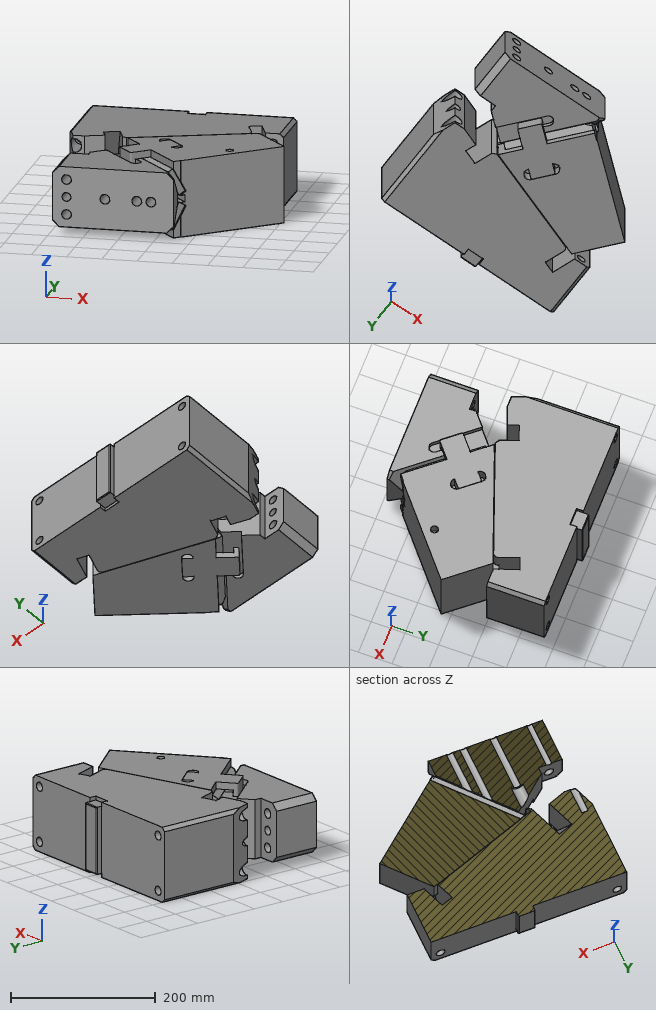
import cadquery as cq
import math

SLIDE_ANGLE = 40.0
FACE_ANGLE = 20.0
GUIDE_TILT = 30.0

HOLDER_LENGTH = 295.0
HOLDER_BACK = 275.5
HOLDER_HEIGHT = 110.0
HOLDER_CHAMFER = 5.3
HOLDER_RIGHT_FOOT = 190.2
HOLDER_LEFT_FOOT = 120.0
SLANT_TOP = 153.5
SLANT_WIDTH = 12.0
LIP_START = 28.2
FACE_ORIGIN = (87.0, 124.2)
LAND_START = -4.5
LAND_END = 175.3
LAND_CHAMFER = 5.5
LAND_ROUND = 6.2
LEFT_NOTCH_WIDTH = 23.2
LEFT_NOTCH_TOP = 33.0
LIP_HEIGHT = 16.5
RIGHT_NOTCH_WIDTH = 18.3
RIGHT_NOTCH_TOP = 36.5

BOLT_INSET = 14.5
BOLT_HEIGHT = 40.3
BOLT_RADIUS = 6.5
BOLT_HEAD_RADIUS = 9.5
BOLT_HEAD_SEAT = 161.0
DOWEL_RADIUS = 6.8
DOWEL_END = 161.0

KEY_LEFT = 141.2
KEY_WIDTH = 25.7
KEY_FRONT = 265.0
KEY_BACK = 284.0
KEY_HEIGHT = 98.5
KEY_CHAMFER = 1.2

SLIDER_CORNER = (178.0, 18.0)
SLIDER_LENGTH = 172.0
SLIDER_LEFT_SIDE = 138.5
SLIDER_HEIGHT = HOLDER_HEIGHT
TONGUE_RISE = 8.7
TONGUE_HEIGHT = 59.0
END_STEP = 1.0
END_STEP_WIDTH = 11.0
GUIDE_FLOOR = 17.7
PLATE_TOP = 44.0
PLATE_THICKNESS = 10.8
PLATE_WIDTH = 38.7
PLATE_START = 3.0
PLATE_END = 128.2
PLATE_CORNER_DEPTH = 4.0
PLATE_CORNER_LENGTH = 10.0
STRAP_SIDES = (68.8, 103.0)
STRAP_OUTER_END = -31.5
STRAP_INNER_END = 47.7
STRAP_THICKNESS = 19.5
STRAP_NECK_START = -24.2
STRAP_NECK_THICKNESS = 10.2
STRAP_FILLET = 2.5
STRAP_SLOT_MIDDLE = 40.0
STRAP_SLOT_RADIUS = 8.0
PIN_HOLE = (240.7, 92.5)
PIN_HOLE_RADIUS = 5.3
PIN_HOLE_DEPTH = 15.5
PIN_POINT_SLOPE = 30.0

DRIVER_LEFT = 10.0
DRIVER_RIGHT = 181.8
DRIVER_HEIGHT = 86.7
DRIVER_CHAMFER = 9.5
DRIVER_SHOULDER = 70.3
DRIVER_STEP_X = 45.2
DRIVER_STEP_TOP = 80.5
RIDGE = 8.5
HOOK_SLOT_RADIUS = 7.5
HOOK_SLOT_MIDDLE = -28.5
HOOK_SLOT_START = 60.0
CORNER_HOLE_X = 30.0
CORNER_HOLE_HEIGHT = 25.0
LONG_HOLE_RADIUS = 6.8
CENTRE_HOLE_RADIUS = 6.2
SPRING_HOLE_X = 84.5
SPRING_BORE_RADIUS = 10.0
SPRING_BORE_SEAT = 86.7
REAR_HOLES_X = (129.8, 150.0)

CHANNEL_OVERRUN = 3.0
REACH = 619.5
tilt = math.radians(GUIDE_TILT)
flank_run = math.tan(tilt)

slide = math.radians(SLIDE_ANGLE)
slide_dir = (math.cos(slide), math.sin(slide), 0)
slider_frame = cq.Plane((*SLIDER_CORNER, 0), slide_dir, (0, 0, 1))

section_frame = cq.Plane((*SLIDER_CORNER, 0), slide_dir, (math.sin(slide), -math.cos(slide), 0))

face = math.radians(FACE_ANGLE)
face_frame = cq.Plane((*FACE_ORIGIN, 0), (math.cos(face), math.sin(face), 0), (0, 0, 1))

flank_x = -PLATE_THICKNESS * math.cos(tilt)
flank_z = PLATE_TOP - PLATE_THICKNESS * math.sin(tilt)


def flank_height(x):
    """Height of the V flank above mid height at local x of the slider frame."""
    return flank_z - (x - flank_x) / flank_run


def upright(frame, points, height, middle=0.0):
    """Polygon in a horizontal frame, extruded along Z about the given middle height."""
    return cq.Workplane(frame).workplane(offset=middle - height / 2).polyline(points).close().extrude(height)


def along_joint(points, start, end):
    """Polygon in the joint section, extruded along the joint from start to end."""
    return cq.Workplane(section_frame).workplane(offset=-end).polyline(points).close().extrude(end - start)


def hole_along_y(x, z, radius, start, end):
    """Cylinder parallel to Y."""
    plane = cq.Plane((x, start, z), (1, 0, 0), (0, 1, 0))
    return cq.Workplane(plane).circle(radius).extrude(end - start)


def both_sides(solid):
    """The solid and its mirror image about mid height."""
    return solid.add(solid.mirror("XY")).combine(clean=True)


def bevelled_bar(left, right, front, back, height, chamfer):
    """Box whose four edges along Y are chamfered."""
    bar = cq.Workplane("XY").box(right - left, back - front, height)
    bar = bar.edges("|Y").chamfer(chamfer)
    return bar.translate(((left + right) / 2, (front + back) / 2, 0))


def on_face(along, depth):
    """Point of the face frame in X and Y."""
    return face_frame.toWorldCoords((along, depth)).toTuple()[:2]


def holder_outline():
    lip_end = LAND_START - LEFT_NOTCH_WIDTH
    notch_end = LAND_END + RIGHT_NOTCH_WIDTH
    foot_depth = (HOLDER_RIGHT_FOOT - FACE_ORIGIN[1] - notch_end * math.sin(face)) / math.cos(face)
    points = [
        (0, HOLDER_BACK),
        (0, SLANT_TOP),
        (SLANT_WIDTH, HOLDER_LEFT_FOOT),
        (LIP_START, HOLDER_LEFT_FOOT),
        on_face(lip_end, LIP_HEIGHT),
        on_face(lip_end, LEFT_NOTCH_TOP),
        on_face(LAND_START, LEFT_NOTCH_TOP),
        on_face(LAND_START, LAND_CHAMFER),
        on_face(0, 0),
        on_face(LAND_END - LAND_ROUND, 0),
    ]
    outline = cq.Workplane("XY").workplane(offset=-HOLDER_HEIGHT / 2).polyline(points)
    middle = LAND_ROUND * (1 - math.sqrt(0.5))
    outline = outline.threePointArc(on_face(LAND_END - middle, middle), on_face(LAND_END, LAND_ROUND))
    for corner in [
        on_face(LAND_END, RIGHT_NOTCH_TOP),
        on_face(notch_end, RIGHT_NOTCH_TOP),
        on_face(notch_end, foot_depth),
        (HOLDER_LENGTH, HOLDER_RIGHT_FOOT),
        (HOLDER_LENGTH, HOLDER_BACK),
    ]:
        outline = outline.lineTo(*corner)
    return outline.close().extrude(HOLDER_HEIGHT)


def make_holder():
    body = holder_outline()
    body = body.intersect(bevelled_bar(0, HOLDER_LENGTH, 0, HOLDER_BACK, HOLDER_HEIGHT, HOLDER_CHAMFER))

    for z in (-BOLT_HEIGHT, BOLT_HEIGHT):
        for x in (BOLT_INSET, HOLDER_LENGTH - BOLT_INSET):
            body = body.cut(hole_along_y(x, z, BOLT_RADIUS, 0, HOLDER_BACK))
        body = body.cut(hole_along_y(BOLT_INSET, z, BOLT_HEAD_RADIUS, 0, BOLT_HEAD_SEAT))
    body = body.cut(hole_along_y(BOLT_INSET, 0, DOWEL_RADIUS, 0, DOWEL_END))

    hollow_depth = HOLDER_HEIGHT / 2 * flank_run
    hollow_plane = cq.Plane((*on_face(LAND_START, LEFT_NOTCH_TOP), 0), face_frame.yDir, -face_frame.xDir)
    hollow = [(0, HOLDER_HEIGHT / 2), (hollow_depth, 0), (0, -HOLDER_HEIGHT / 2)]
    body = body.cut(cq.Workplane(hollow_plane).polyline(hollow).close().extrude(LEFT_NOTCH_WIDTH))

    body = body.cut(slider_tongue())

    key_middle = (KEY_LEFT + KEY_WIDTH / 2, (KEY_FRONT + KEY_BACK) / 2)
    key_depth = KEY_BACK - KEY_FRONT
    slot = cq.Workplane("XY").box(KEY_WIDTH, key_depth, HOLDER_HEIGHT).translate((*key_middle, 0))
    key = cq.Workplane("XY").box(KEY_WIDTH, key_depth, KEY_HEIGHT).faces(">Y").edges().chamfer(KEY_CHAMFER)
    return body.cut(slot).union(key.translate((*key_middle, 0)))


slider_right_side = SLIDER_LEFT_SIDE - SLIDER_LENGTH * math.tan(slide - face)


def slider_tongue():
    """Tongue on the slider's long sloping side; the holder's groove has the same shape."""
    points = [
        (0, SLIDER_LEFT_SIDE),
        (SLIDER_LENGTH, slider_right_side),
        (SLIDER_LENGTH, slider_right_side + TONGUE_RISE),
        (0, SLIDER_LEFT_SIDE + TONGUE_RISE),
    ]
    return upright(slider_frame, points, TONGUE_HEIGHT)


def guide_plate_section():
    """Guide plate leaning on the V flank, above mid height."""
    along = (PLATE_WIDTH * math.sin(tilt), -PLATE_WIDTH * math.cos(tilt))
    return [
        (0, PLATE_TOP),
        (flank_x, flank_z),
        (flank_x + along[0], flank_z + along[1]),
        (along[0], PLATE_TOP + along[1]),
    ]


def guide_channel():
    """V channel for the driver's ridge, with a flat floor."""
    mouth = flank_x - CHANNEL_OVERRUN
    root = flank_x + PLATE_WIDTH * math.sin(tilt)
    half = [(mouth, flank_height(mouth)), (root, flank_height(root)), (GUIDE_FLOOR, flank_height(root))]
    mirrored_half = [(x, -z) for x, z in reversed(half)]
    return along_joint(half + mirrored_half, -REACH, REACH)


def guide_plates():
    plate = along_joint(guide_plate_section(), PLATE_START, PLATE_END)
    corner = [
        (flank_x, PLATE_START),
        (flank_x + PLATE_CORNER_DEPTH, PLATE_START),
        (flank_x, PLATE_START + PLATE_CORNER_LENGTH),
    ]
    return both_sides(plate.cut(upright(slider_frame, corner, SLIDER_HEIGHT)))


def slider_straps():
    """Flush straps that hook into the driver."""
    near, far = STRAP_SIDES
    points = [
        (STRAP_OUTER_END, near),
        (STRAP_INNER_END, near),
        (STRAP_INNER_END, far),
        (STRAP_OUTER_END, far),
    ]
    strap = upright(slider_frame, points, STRAP_THICKNESS, (SLIDER_HEIGHT - STRAP_THICKNESS) / 2)
    strap = strap.edges("|Z").fillet(STRAP_FILLET)
    under_neck = [(STRAP_NECK_START, near), (0, near), (0, far), (STRAP_NECK_START, far)]
    under_height = SLIDER_HEIGHT - 2 * STRAP_NECK_THICKNESS
    return both_sides(strap.cut(upright(slider_frame, under_neck, under_height)))


def strap_slots():
    """Round-ended slots that the inner strap ends sit in."""
    near, far = STRAP_SIDES
    slot = (
        cq.Workplane(slider_frame)
        .workplane(offset=SLIDER_HEIGHT / 2)
        .center(STRAP_SLOT_MIDDLE, (near + far) / 2)
        .slot2D(far - near + 2 * STRAP_SLOT_RADIUS, 2 * STRAP_SLOT_RADIUS, 90)
        .extrude(-STRAP_THICKNESS)
    )
    return both_sides(slot)


def make_slider():
    points = [
        (0, END_STEP),
        (END_STEP_WIDTH, END_STEP),
        (END_STEP_WIDTH, 0),
        (SLIDER_LENGTH, 0),
        (SLIDER_LENGTH, slider_right_side),
        (0, SLIDER_LEFT_SIDE),
    ]
    body = upright(slider_frame, points, SLIDER_HEIGHT).union(slider_tongue())
    body = body.cut(both_sides(along_joint(guide_plate_section(), 0, PLATE_START)))
    body = body.union(guide_plates()).cut(guide_channel())
    body = body.cut(strap_slots()).union(slider_straps())

    half_section = [
        (0, 0),
        (PIN_HOLE_RADIUS, 0),
        (PIN_HOLE_RADIUS, -PIN_HOLE_DEPTH),
        (0, -PIN_HOLE_DEPTH - PIN_HOLE_RADIUS * math.tan(math.radians(PIN_POINT_SLOPE))),
    ]
    hole = cq.Workplane("XZ").polyline(half_section).close().revolve(360, (0, 0), (0, 1))
    return body.cut(hole.translate((*PIN_HOLE, SLIDER_HEIGHT / 2)))


def driver_outline():
    """Plan outline that reaches out to the crest of the V ridge."""
    step = (DRIVER_STEP_X, DRIVER_STEP_TOP)
    step_local = slider_frame.toLocalCoords(cq.Vector(*step, 0))
    crest = slider_frame.toWorldCoords((RIDGE, step_local.y)).toTuple()[:2]
    crest_end = crest[1] - (DRIVER_RIGHT - crest[0]) / math.tan(slide)
    points = [
        (DRIVER_LEFT, 0),
        (DRIVER_RIGHT, 0),
        (DRIVER_RIGHT, crest_end),
        crest,
        step,
        (DRIVER_STEP_X, DRIVER_SHOULDER),
        (DRIVER_LEFT, DRIVER_SHOULDER),
    ]
    return upright(cq.Plane.XY(), points, DRIVER_HEIGHT)


def above_flank():
    """Space over the upper flank of the V ridge."""
    half = DRIVER_HEIGHT / 2
    edge = flank_x + (flank_z - half) * flank_run
    points = [(edge, half), (RIDGE, flank_height(RIDGE)), (RIDGE, half)]
    return both_sides(along_joint(points, -REACH, REACH))


def hook_slots():
    """Recesses for the outer strap ends, open toward the upper left end of the driver."""
    floor = SLIDER_HEIGHT / 2 - STRAP_THICKNESS
    depth = DRIVER_HEIGHT / 2 - floor
    outer = HOOK_SLOT_MIDDLE - HOOK_SLOT_RADIUS
    inner = HOOK_SLOT_MIDDLE + HOOK_SLOT_RADIUS
    open_start = sum(STRAP_SIDES) / 2
    far = REACH / 2
    closed_end = (
        cq.Workplane(slider_frame)
        .workplane(offset=floor)
        .moveTo(inner, HOOK_SLOT_START)
        .threePointArc((HOOK_SLOT_MIDDLE, HOOK_SLOT_START - HOOK_SLOT_RADIUS), (outer, HOOK_SLOT_START))
        .lineTo(outer, far)
        .lineTo(inner, far)
        .close()
        .extrude(depth)
    )
    open_end = [(outer, open_start), (outer, far), (RIDGE, far), (RIDGE, open_start)]
    return both_sides(closed_end.union(upright(slider_frame, open_end, depth, floor + depth / 2)))


def make_driver():
    body = driver_outline()
    bar = bevelled_bar(DRIVER_LEFT, DRIVER_RIGHT, 0, HOLDER_BACK, DRIVER_HEIGHT, DRIVER_CHAMFER)
    body = body.intersect(bar).cut(above_flank()).cut(hook_slots())

    for z in (-CORNER_HOLE_HEIGHT, CORNER_HOLE_HEIGHT):
        body = body.cut(hole_along_y(CORNER_HOLE_X, z, LONG_HOLE_RADIUS, 0, HOLDER_BACK))
    body = body.cut(hole_along_y(CORNER_HOLE_X, 0, CENTRE_HOLE_RADIUS, 0, HOLDER_BACK))
    for x in (SPRING_HOLE_X, *REAR_HOLES_X):
        body = body.cut(hole_along_y(x, 0, LONG_HOLE_RADIUS, 0, HOLDER_BACK))
    return body.cut(hole_along_y(SPRING_HOLE_X, 0, SPRING_BORE_RADIUS, SPRING_BORE_SEAT, HOLDER_BACK))


holder = make_holder()
slider = make_slider()
driver = make_driver()

result = cq.Compound.makeCompound([body.solids().val() for body in (holder, slider, driver)])